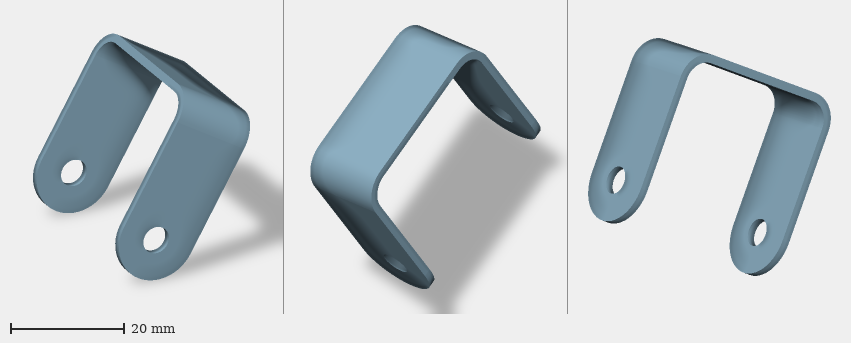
import cadquery as cq

span = 35.0
strap_width = 15.0
thickness = 1.5
outer_bend_radius = 5.5
leg_length = 26.5
hole_diameter = 5.0
hole_offset = 0.25
tilt_angle = 30.0

end_radius = strap_width / 2
strap_height = leg_length + end_radius
inner_bend_radius = outer_bend_radius - thickness


def rounded_block(width, top, bend_radius):
    """Block down to the tips of the legs, with its two upper long edges rounded."""
    block = cq.Workplane("XY").box(width, strap_width, strap_height, centered=(True, True, False))
    block = block.translate((0, 0, top - strap_height))
    return block.edges("|Y and >Z").fillet(bend_radius)


def bent_strap():
    """Upright U-shaped strap with square leg ends."""
    outside = rounded_block(span, leg_length, outer_bend_radius)
    inside = rounded_block(span - 2 * thickness, leg_length - thickness, inner_bend_radius)
    return outside.cut(inside)


def leg_profile():
    """Side outline of the legs with a full-round lower end, spanning both legs."""
    return (
        cq.Workplane("YZ")
        .moveTo(-end_radius, leg_length)
        .lineTo(-end_radius, 0)
        .threePointArc((0, -end_radius), (end_radius, 0))
        .lineTo(end_radius, leg_length)
        .close()
        .extrude(span / 2, both=True)
    )


def pivot_holes():
    """Cylinder that pierces both legs."""
    return (
        cq.Workplane("YZ")
        .center(-hole_offset, 0)
        .circle(hole_diameter / 2)
        .extrude(span / 2, both=True)
    )


upright_strap = bent_strap().intersect(leg_profile()).cut(pivot_holes())

result = upright_strap.rotate((0, 0, 0), (1, 0, 0), -tilt_angle)